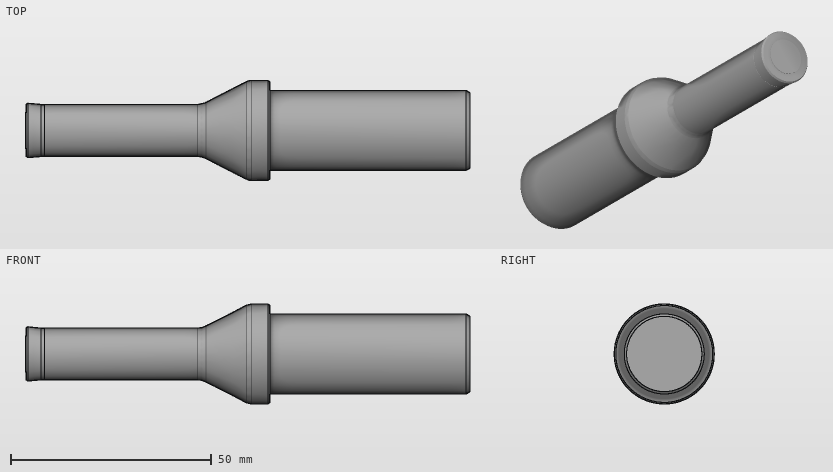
import cadquery as cq


overall_length = 111.0
shank_length = 50.0
shank_diameter = 20.0
shank_chamfer_length = 1.0
shank_chamfer_depth = 0.6

collar_diameter = 25.0
collar_chamfer = 0.4
cone_start = 44.05
cone_end = 55.75
cone_foot_radius = 4.5
cone_top_radius = 2.8

neck_diameter = 13.0
stub_diameter = 12.8
stub_length = 0.9
core_diameter = 9.0

head_front = 0.15
head_back = 4.75
head_diameter = 13.6
head_back_diameter = 12.9
head_edge_chamfer_length = 0.5
head_edge_chamfer_depth = 0.3

collar_back = overall_length - shank_length
stub_front = head_back - stub_length


def revolve_about_x(profile):
    """Turn a closed half profile (X, radius) a full circle about the X axis."""
    return profile.close().revolve(360, (0, 0, 0), (1, 0, 0))


def round_circle_at(body, x, radius):
    """Round the circular edge whose centre lies at x on the axis."""
    return body.edges("%CIRCLE").edges(cq.selectors.NearestToPointSelector((x, 0, 0))).fillet(radius)


def make_head():
    """Ring that tapers backward from a chamfered cutting edge, with a socket at the back."""
    profile = (
        cq.Workplane("XY")
        .moveTo(head_front, core_diameter / 2)
        .lineTo(head_front, head_diameter / 2 - head_edge_chamfer_depth)
        .lineTo(head_front + head_edge_chamfer_length, head_diameter / 2)
        .lineTo(head_back, head_back_diameter / 2)
        .lineTo(head_back, stub_diameter / 2)
        .lineTo(stub_front, stub_diameter / 2)
        .lineTo(stub_front, core_diameter / 2)
    )
    return revolve_about_x(profile)


def make_holder():
    """Core, stub, neck, blended cone, collar and shank."""
    neck_radius = neck_diameter / 2
    collar_radius = collar_diameter / 2
    shank_radius = shank_diameter / 2
    profile = (
        cq.Workplane("XY")
        .lineTo(0, core_diameter / 2)
        .lineTo(stub_front, core_diameter / 2)
        .lineTo(stub_front, stub_diameter / 2)
        .lineTo(head_back, stub_diameter / 2)
        .lineTo(head_back, neck_radius)
        .lineTo(cone_start, neck_radius)
        .lineTo(cone_end, collar_radius)
        .lineTo(collar_back - collar_chamfer, collar_radius)
        .lineTo(collar_back, collar_radius - collar_chamfer)
        .lineTo(collar_back, shank_radius)
        .lineTo(overall_length - shank_chamfer_length, shank_radius)
        .lineTo(overall_length, shank_radius - shank_chamfer_depth)
        .lineTo(overall_length, 0)
    )
    holder = revolve_about_x(profile)
    holder = round_circle_at(holder, cone_start, cone_foot_radius)
    return round_circle_at(holder, cone_end, cone_top_radius)


head = make_head()
holder = make_holder()

result = cq.Compound.makeCompound([head.val(), holder.val()])